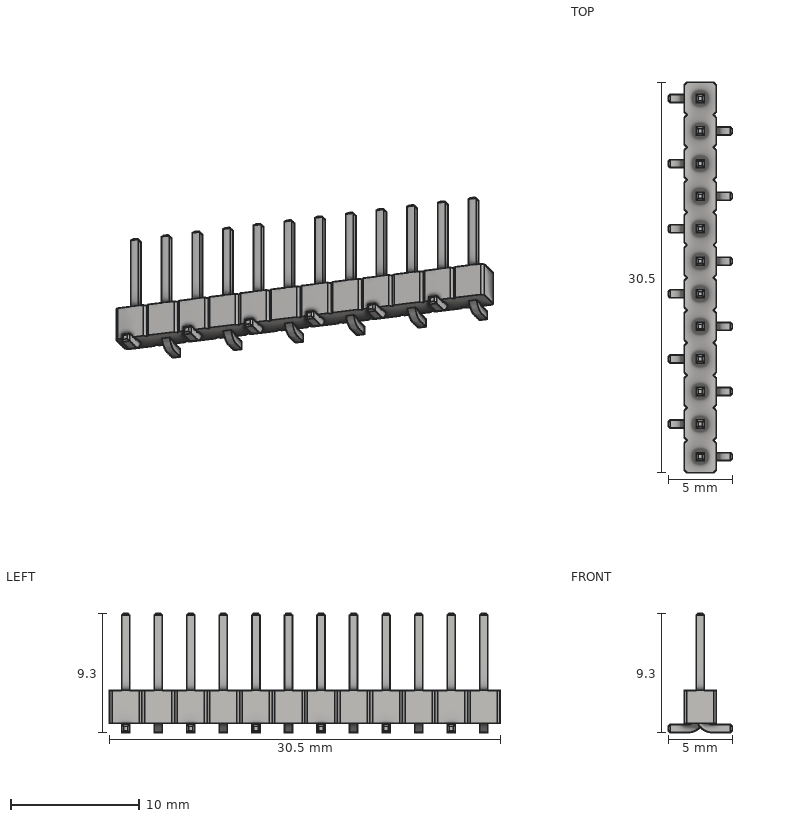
import cadquery as cq

PIN_COUNT = 12
HEADER_LENGTH = 30.48
TOTAL_WIDTH = 5.0
TOTAL_HEIGHT = 9.3
BODY_WIDTH = 2.5
BODY_HEIGHT = 2.55
BODY_BOTTOM = 0.73
CORNER_CUT = 0.2
PIN_SIZE = 0.65
TIP_CUT = 0.15

PITCH = HEADER_LENGTH / PIN_COUNT
BODY_TOP = BODY_BOTTOM + BODY_HEIGHT
BEND_INNER_RADIUS = PIN_SIZE
BEND_OUTER_RADIUS = BEND_INNER_RADIUS + PIN_SIZE
BEND_CENTER_X = BEND_OUTER_RADIUS - PIN_SIZE / 2
LEG_REACH = TOTAL_WIDTH / 2

def body_segment():
    """One bevelled insulator block, centred on its pin."""
    return (
        cq.Workplane("XY")
        .workplane(offset=BODY_BOTTOM)
        .rect(BODY_WIDTH, PITCH)
        .extrude(BODY_HEIGHT)
        .edges("|Z")
        .chamfer(CORNER_CUT)
    )

def upright_pin():
    """Straight square pin standing on top of the body."""
    return (
        cq.Workplane("XY")
        .workplane(offset=BODY_TOP)
        .rect(PIN_SIZE, PIN_SIZE)
        .extrude(TOTAL_HEIGHT - BODY_TOP)
        .faces(">Z")
        .chamfer(TIP_CUT)
    )

def bent_leg():
    """Surface-mount leg leaving the body and bending towards +X."""
    bend_center_z = BEND_OUTER_RADIUS
    outer_x = -PIN_SIZE / 2
    inner_x = PIN_SIZE / 2
    root_z = BODY_BOTTOM + BODY_HEIGHT / 2
    return (
        cq.Workplane("XZ")
        .moveTo(outer_x, root_z)
        .lineTo(outer_x, bend_center_z)
        .radiusArc((BEND_CENTER_X, 0), -BEND_OUTER_RADIUS)
        .lineTo(LEG_REACH, 0)
        .lineTo(LEG_REACH, PIN_SIZE)
        .lineTo(BEND_CENTER_X, PIN_SIZE)
        .radiusArc((inner_x, bend_center_z), BEND_INNER_RADIUS)
        .lineTo(inner_x, root_z)
        .close()
        .extrude(PIN_SIZE / 2, both=True)
        .faces(">X")
        .chamfer(TIP_CUT)
    )

block_and_pin = body_segment().union(upright_pin())
position_right = block_and_pin.union(bent_leg())
position_left = block_and_pin.union(bent_leg().mirror("YZ"))

result = cq.Workplane("XY")
for index in range(PIN_COUNT):
    position = position_right if index % 2 == 0 else position_left
    y = (index + 0.5) * PITCH - HEADER_LENGTH / 2
    result = result.union(position.translate((0, y, 0)))
result = result.clean()